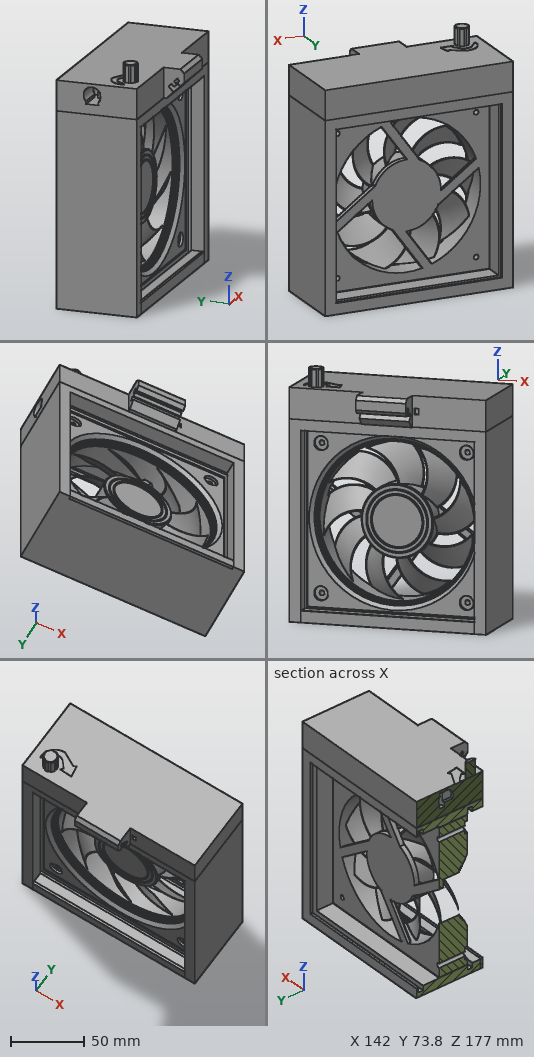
import cadquery as cq
import math

WIDTH = 142.0
DEPTH = 58.76
HOUSING_HEIGHT = 142.0
HEAD_HEIGHT = 22.0
HEAD_TOP = HOUSING_HEIGHT + HEAD_HEIGHT

FAN_AXIS_Z = 71.0
DUCT_WIDTH = 125.4
DUCT_BOTTOM = 8.3
DUCT_TOP = 134.4
FRONT_GROOVE_Y = 9.5
REAR_GROOVE_Y = 53.0
GROOVE_WIDTH = 3.7
GROOVE_DEPTH = 4.0

STRIP_THICKNESS = 2.0

FRAME_SIZE = 124.4
FRAME_FRONT_Y = 13.7
FRAME_THICKNESS = 25.0
FRAME_BACK_Y = FRAME_FRONT_Y + FRAME_THICKNESS
BORE_DIAMETER = 111.5
THROAT_DIAMETER = 116.5
MOUTH_DIAMETER = 122.0
MOUTH_DEPTH = (MOUTH_DIAMETER - THROAT_DIAMETER) / 2
THROAT_STEPS = 5
STEP_DEPTH = 0.9
SCREW_SPACING = 105.0
SCREW_DIAMETER = 3.54
SCREW_HEAD_DIAMETER = 10.0
SCREW_HEAD_DEPTH = 2.0

STRUT_COUNT = 4
STRUT_ANGLE = 54.0
STRUT_WIDTH = 6.9
STRUT_OFFSET = 18.9
STRUT_THICKNESS = 4.0
STRUT_CHAMFER = 1.7

HUB_DIAMETER = 52.0
HUB_FRONT_Y = 20.8
HUB_BACK_Y = FRAME_BACK_Y - STRUT_THICKNESS
HUB_CHAMFER = 0.8
HUB_RING_RADII = (22.4, 19.0)
HUB_RING_WIDTH = 0.9
HUB_RING_DEPTH = 0.5
BLADE_COUNT = 9
BLADE_FRONT_Y = 21.6
BLADE_BACK_Y = HUB_BACK_Y - 0.5
BLADE_TWIST = 28.5
BLADE_ROOT_RADIUS = 24.0
BLADE_MIDDLE_RADIUS = 42.0
BLADE_TIP_RADIUS = 54.5
BLADE_ROOT_ANGLE = 57.0
BLADE_MIDDLE_ANGLE = 70.0
BLADE_TIP_ANGLE = 85.0
BLADE_ROOT_THICKNESS = 1.0
BLADE_TIP_THICKNESS = 0.8

HOOK_WIDTH = 36.0
HOOK_REACH = 15.0
HOOK_CHAMFER = 2.8
HOOK_NOSE_HEIGHT = 12.4
HOOK_FOOT = 2.1

SLOT_MOUTH_WIDTH = 6.7
LIP_LENGTH = 5.1
UNDERCUT_LENGTH = 9.0
UNDERCUT_DEPTH = 2.0
RIDGE_START = 3.0
RIDGE_END = 5.7
RIDGE_HEIGHT = 2.75
SLOT_ROOT_Y = 3.6
SLOT_ROOT_HEIGHT = SLOT_ROOT_Y - HOOK_FOOT + LIP_LENGTH * math.sqrt(2)

WINDOW_WIDTH = 2.9
WINDOW_HEIGHT = 4.1
WINDOW_DEPTH = 2.0
WINDOW_X = 20.9
WINDOW_Z = HOUSING_HEIGHT + 10.9

SOCKET_DIAMETER = 12.4
SOCKET_Y = 32.7
SOCKET_Z = HEAD_TOP - 8.5
SOCKET_KEY_WIDTH = 9.0
SOCKET_KEY_DROP = 6.3
SOCKET_DEPTH = 20.0
SOCKET_STEP_DEPTH = 16.0
SOCKET_STEP_DROP = 2.5
SOCKET_SPLIT = 1.6

KNOB_X = -54.9
KNOB_Y = 10.5
KNOB_DIAMETER = 10.36
KNOB_HEIGHT = 13.0
KNOB_CHAMFER = 0.6
FLUTE_COUNT = 7
FLUTE_RADIUS = 0.7

ARROW_DEPTH = 0.3
ARROW_TAIL_OUTER = (-9.5, 1.6)
ARROW_CROWN_OUTER = ((-6.7, 10.2), (2.5, 14.1))
ARROW_HEAD = ((13.2, 8.3), (15.2, 9.7), (16.6, 0.9), (7.0, 1.2), (8.8, 3.0), (5.6, 6.9))
ARROW_CROWN_INNER = ((0, 9.5), (-4.5, 7.0))
ARROW_TAIL_INNER = (-8.6, 1.6)


def block(x_size, y_start, y_end, z_start, z_end):
    """Box centred on X = 0 between the given Y and Z limits."""
    return (
        cq.Workplane("XY")
        .box(x_size, y_end - y_start, z_end - z_start, centered=(True, False, False))
        .translate((0, y_start, z_start))
    )


def fan_plane(y):
    """Plane across the fan axis at depth y, with its normal toward the front."""
    return cq.Workplane("XZ", origin=(0, y, FAN_AXIS_Z))


def polar(radius, angle):
    radians = math.radians(angle)
    return (radius * math.cos(radians), radius * math.sin(radians))


def make_housing():
    housing = block(WIDTH, 0, DEPTH, 0, HOUSING_HEIGHT)
    for y_start, y_end in ((0, FRAME_FRONT_Y), (FRAME_BACK_Y, DEPTH)):
        housing = housing.cut(block(DUCT_WIDTH, y_start, y_end, DUCT_BOTTOM, DUCT_TOP))
    frame_pocket = fan_plane(FRAME_BACK_Y).rect(FRAME_SIZE, FRAME_SIZE).extrude(FRAME_THICKNESS)
    housing = housing.cut(frame_pocket)
    for groove_y in (FRONT_GROOVE_Y, REAR_GROOVE_Y):
        groove = block(
            DUCT_WIDTH + 2 * GROOVE_DEPTH,
            groove_y,
            groove_y + GROOVE_WIDTH,
            DUCT_BOTTOM - GROOVE_DEPTH,
            DUCT_TOP + GROOVE_DEPTH,
        )
        housing = housing.cut(groove)
    return housing.cut(make_sill_strip())


def make_sill_strip():
    return block(DUCT_WIDTH, 0, STRIP_THICKNESS, 0, DUCT_BOTTOM)


def make_frame_bore():
    """Revolved air passage: conical mouth, stepped throat, straight bore."""
    step_height = (THROAT_DIAMETER - BORE_DIAMETER) / 2 / THROAT_STEPS
    radius = THROAT_DIAMETER / 2
    y = FRAME_FRONT_Y + MOUTH_DEPTH
    points = [(0, FRAME_FRONT_Y), (MOUTH_DIAMETER / 2, FRAME_FRONT_Y), (radius, y)]
    for _ in range(THROAT_STEPS):
        y += STEP_DEPTH
        points.append((radius, y))
        radius -= step_height
        points.append((radius, y))
    points += [(radius, FRAME_BACK_Y), (0, FRAME_BACK_Y)]
    profile = cq.Workplane("XY").polyline(points).close()
    return profile.revolve(360, (0, 0, 0), (0, 1, 0)).translate((0, 0, FAN_AXIS_Z))


def make_motor_mount():
    """Round plate behind the rotor with struts that reach the frame bore."""
    mount = fan_plane(FRAME_BACK_Y).circle(HUB_DIAMETER / 2).extrude(STRUT_THICKNESS)
    half = STRUT_WIDTH / 2
    section = [
        (-half, 0),
        (half, 0),
        (half, STRUT_THICKNESS),
        (STRUT_CHAMFER - half, STRUT_THICKNESS),
        (-half, STRUT_THICKNESS - STRUT_CHAMFER),
    ]
    strut = (
        cq.Workplane("YZ")
        .polyline(section)
        .close()
        .extrude(MOUTH_DIAMETER / 2)
        .translate((0, STRUT_OFFSET, 0))
    )
    for index in range(STRUT_COUNT):
        angle = STRUT_ANGLE + index * 360 / STRUT_COUNT
        placed = (
            strut.rotate((0, 0, 0), (0, 0, 1), angle)
            .rotate((0, 0, 0), (1, 0, 0), 90)
            .translate((0, FRAME_BACK_Y, FAN_AXIS_Z))
        )
        mount = mount.union(placed)
    limit = fan_plane(FRAME_BACK_Y).circle(THROAT_DIAMETER / 2).extrude(FRAME_THICKNESS)
    return mount.intersect(limit)


def make_fan_frame():
    frame = fan_plane(FRAME_BACK_Y).rect(FRAME_SIZE, FRAME_SIZE).extrude(FRAME_THICKNESS)
    frame = frame.cut(make_frame_bore())
    frame = (
        frame.faces("<Y")
        .workplane(origin=(0, FRAME_FRONT_Y, FAN_AXIS_Z))
        .rect(SCREW_SPACING, SCREW_SPACING, forConstruction=True)
        .vertices()
        .cboreHole(SCREW_DIAMETER, SCREW_HEAD_DIAMETER, SCREW_HEAD_DEPTH)
    )
    return frame.union(make_motor_mount())


def make_blade():
    """Swept band twisted along the fan axis, from its rear edge to its front edge."""
    stations = (
        (BLADE_ROOT_RADIUS, BLADE_ROOT_ANGLE, BLADE_ROOT_THICKNESS),
        (BLADE_MIDDLE_RADIUS, BLADE_MIDDLE_ANGLE, (BLADE_ROOT_THICKNESS + BLADE_TIP_THICKNESS) / 2),
        (BLADE_TIP_RADIUS, BLADE_TIP_ANGLE, BLADE_TIP_THICKNESS),
    )
    trailing = []
    leading = []
    for radius, angle, thickness in stations:
        trailing.append(polar(radius, angle))
        leading.append(polar(radius, angle + math.degrees(thickness / radius)))
    return (
        fan_plane(BLADE_BACK_Y)
        .moveTo(*trailing[0])
        .threePointArc(trailing[1], trailing[2])
        .lineTo(*leading[2])
        .threePointArc(leading[1], leading[0])
        .close()
        .twistExtrude(BLADE_BACK_Y - BLADE_FRONT_Y, BLADE_TWIST)
    )


def make_rotor():
    rotor = fan_plane(HUB_BACK_Y).circle(HUB_DIAMETER / 2).extrude(HUB_BACK_Y - HUB_FRONT_Y)
    rotor = rotor.faces("<Y").edges().chamfer(HUB_CHAMFER)
    blade = make_blade()
    axis_start = (0, 0, FAN_AXIS_Z)
    axis_end = (0, 1, FAN_AXIS_Z)
    for index in range(BLADE_COUNT):
        rotor = rotor.union(blade.rotate(axis_start, axis_end, index * 360 / BLADE_COUNT))
    for radius in HUB_RING_RADII:
        groove = (
            fan_plane(HUB_FRONT_Y + HUB_RING_DEPTH)
            .circle(radius)
            .circle(radius - HUB_RING_WIDTH)
            .extrude(HUB_RING_DEPTH)
        )
        rotor = rotor.cut(groove)
    return rotor


def hook_point(along, out):
    """Point of the slanted slot: along its back face and out of it, as (reach, height)."""
    diagonal = math.sqrt(0.5)
    return (SLOT_ROOT_Y + (along + out) * diagonal, SLOT_ROOT_HEIGHT + (along - out) * diagonal)


def make_hook():
    """Hook with a 45 degree undercut slot and a ridge on the slot's back face."""
    tip_out = (HOOK_REACH - HOOK_NOSE_HEIGHT - SLOT_ROOT_Y + SLOT_ROOT_HEIGHT) * math.sqrt(0.5)
    outline = [
        (0, 0),
        (HOOK_FOOT, 0),
        hook_point(0, LIP_LENGTH),
        hook_point(0, 0),
        hook_point(RIDGE_START, 0),
        hook_point(RIDGE_START, RIDGE_HEIGHT),
        hook_point(RIDGE_END, RIDGE_HEIGHT),
        hook_point(RIDGE_END, 0),
        hook_point(UNDERCUT_LENGTH, 0),
        hook_point(UNDERCUT_LENGTH, UNDERCUT_DEPTH),
        hook_point(SLOT_MOUTH_WIDTH, UNDERCUT_DEPTH),
        hook_point(SLOT_MOUTH_WIDTH, tip_out),
        (HOOK_REACH, HOOK_NOSE_HEIGHT),
        (HOOK_REACH, HEAD_HEIGHT - HOOK_CHAMFER),
        (HOOK_REACH - HOOK_CHAMFER, HEAD_HEIGHT),
        (0, HEAD_HEIGHT),
    ]
    profile = [(-reach, HOUSING_HEIGHT + height) for reach, height in outline]
    return cq.Workplane("YZ").polyline(profile).close().extrude(HOOK_WIDTH / 2, both=True)


def make_socket():
    """Keyed round opening with a step on its floor and a rounded relief at its rear end."""
    side = cq.Workplane("YZ", origin=(-WIDTH / 2, SOCKET_Y, SOCKET_Z))
    round_part = side.circle(SOCKET_DIAMETER / 2).extrude(SOCKET_DEPTH)
    key = (
        side.center(0, -SOCKET_KEY_DROP / 2)
        .rect(SOCKET_KEY_WIDTH, SOCKET_KEY_DROP)
        .extrude(SOCKET_DEPTH)
    )
    step_length = SOCKET_DEPTH - SOCKET_STEP_DEPTH
    step_corner = (
        -WIDTH / 2 + SOCKET_STEP_DEPTH,
        SOCKET_Y + SOCKET_SPLIT - SOCKET_DIAMETER,
        SOCKET_Z - SOCKET_STEP_DROP - SOCKET_DIAMETER,
    )
    step = (
        cq.Workplane("XY")
        .box(step_length, SOCKET_DIAMETER, SOCKET_DIAMETER, centered=False)
        .translate(step_corner)
    )
    relief_radius = (SOCKET_DIAMETER / 2 - SOCKET_SPLIT) / 2
    relief = (
        cq.Workplane("XY", origin=(-WIDTH / 2 + SOCKET_DEPTH, 0, SOCKET_Z - SOCKET_KEY_DROP))
        .center(0, SOCKET_Y + SOCKET_SPLIT + relief_radius)
        .circle(relief_radius)
        .extrude(SOCKET_KEY_DROP + SOCKET_DIAMETER / 2)
    )
    return round_part.union(key).cut(step).union(relief)


def make_arrow():
    arrow = (
        cq.Workplane("XY", origin=(KNOB_X, KNOB_Y, HEAD_TOP - ARROW_DEPTH))
        .moveTo(*ARROW_TAIL_OUTER)
        .threePointArc(*ARROW_CROWN_OUTER)
        .polyline(ARROW_HEAD, includeCurrent=True)
        .threePointArc(*ARROW_CROWN_INNER)
        .lineTo(*ARROW_TAIL_INNER)
        .close()
    )
    return arrow.extrude(ARROW_DEPTH)


def make_head():
    head = block(WIDTH, 0, DEPTH, HOUSING_HEIGHT, HEAD_TOP).union(make_hook())
    window = (
        cq.Workplane("XZ", origin=(WINDOW_X, WINDOW_DEPTH, WINDOW_Z))
        .rect(WINDOW_WIDTH, WINDOW_HEIGHT)
        .extrude(WINDOW_DEPTH)
    )
    return head.cut(window).cut(make_socket()).cut(make_arrow())


def make_knob():
    base = cq.Workplane("XY", origin=(KNOB_X, KNOB_Y, HEAD_TOP))
    knob = base.circle(KNOB_DIAMETER / 2).extrude(KNOB_HEIGHT)
    knob = knob.faces(">Z").edges().chamfer(KNOB_CHAMFER)
    flutes = (
        base.polarArray(KNOB_DIAMETER / 2, 90, 360, FLUTE_COUNT)
        .circle(FLUTE_RADIUS)
        .extrude(KNOB_HEIGHT)
    )
    return knob.cut(flutes)


housing = make_housing()
sill_strip = make_sill_strip()
head = make_head()
fan_frame = make_fan_frame()
rotor = make_rotor()
knob = make_knob()

result = cq.Compound.makeCompound(
    [housing.val(), sill_strip.val(), head.val(), fan_frame.val(), rotor.val(), knob.val()]
)